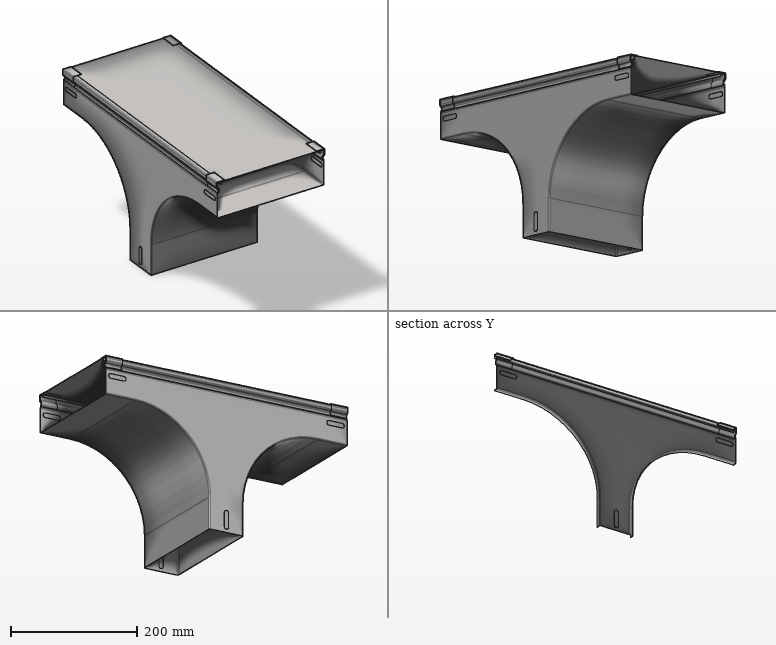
import cadquery as cq
import math

length = 446.6
total_width = 206.4
total_height = 257.19

clip_thickness = 1.0
cover_thickness = 0.8
tray_thickness = 0.8
bend_radius = 2.2

clip_face = total_width / 2
cover_face = clip_face - clip_thickness
tray_face = cover_face - cover_thickness
clip_top = total_height
cover_top = clip_top - clip_thickness
tray_top = cover_top - cover_thickness

run_height = 64.0
stem_width = 63.2
straight_length = 55.0
floor_z = tray_top - run_height
stem_half = stem_width / 2

slot_depth = 0.5
slot_length = 32.0
slot_width = 8.0
slot_end_gap = 5.5
run_slot_drop = 33.3

groove_drop = 16.2
groove_z = total_height - groove_drop
groove_half_height = 7.1
groove_depth = 3.8
tray_shoulder_radius = 3.0
groove_angle = 2 * math.atan(groove_depth / groove_half_height)
groove_radius_sum = groove_half_height / math.sin(groove_angle)
shoulder_centre_y = tray_face - tray_shoulder_radius
groove_centre_y = shoulder_centre_y + groove_radius_sum * math.cos(groove_angle)
groove_bottom_z = groove_z - groove_half_height

lip_bend_y = 93.9
lip_bend_radius = 1.3
lip_turn = math.radians(105)
lip_tail = 3.3

clip_length = 30.0
clip_reach = 16.2

cut_overrun = 1.0
selection_margin = 1.0


def polar(centre, radius, angle):
    """Point at an angle on a circle in the YZ plane."""
    return (centre[0] + radius * math.cos(angle), centre[1] + radius * math.sin(angle))


def arc(centre, radius, start, end):
    """Arc step: its middle point and its end point."""
    return (polar(centre, radius, (start + end) / 2), polar(centre, radius, end))


def line(point):
    """Straight step: only an end point."""
    return (point,)


def side_steps(face, top, bend, full_groove):
    """One surface of a sheet, from the end of its flat top out over the edge and down the groove."""
    quarter = math.pi / 2
    shoulder = face - shoulder_centre_y
    hollow = groove_radius_sum - shoulder
    upper_shoulder = (shoulder_centre_y, groove_z + groove_half_height)
    lower_shoulder = (shoulder_centre_y, groove_bottom_z)
    hollow_centre = (groove_centre_y, groove_z)
    steps = [
        line((face - bend, top)),
        arc((face - bend, top - bend), bend, quarter, 0),
        line((face, upper_shoulder[1])),
        arc(upper_shoulder, shoulder, 0, -groove_angle),
        arc(hollow_centre, hollow, math.pi - groove_angle, math.pi + groove_angle),
    ]
    if full_groove:
        steps.append(arc(lower_shoulder, shoulder, groove_angle, 0))
    return steps


def reverse_steps(start, steps):
    """The same steps walked backwards; the walk ends at `start`."""
    ends = [start] + [step[-1] for step in steps]
    return [step[:-1] + (ends[i],) for i, step in reversed(list(enumerate(steps)))]


def edge_strip(outer_start, outer_steps, inner_start, inner_steps, x_start, strip_length):
    """Sheet strip between its outer and inner surface, extruded along X on the +Y side."""
    back = [line(inner_steps[-1][-1])] + reverse_steps(inner_start, inner_steps)
    outline = cq.Workplane("YZ", origin=(x_start, 0, 0)).moveTo(*outer_start)
    for step in outer_steps + back:
        outline = outline.threePointArc(*step) if len(step) == 2 else outline.lineTo(*step[0])
    return outline.close().extrude(strip_length)


def flat_strip(face, top, thickness, inner_y, x_start, strip_length):
    """Sheet edge with a flat top that starts at inner_y and a side that ends in the groove."""
    return edge_strip(
        (inner_y, top),
        side_steps(face, top, bend_radius, False),
        (inner_y, top - thickness),
        side_steps(face - thickness, top - thickness, bend_radius - thickness, False),
        x_start,
        strip_length,
    )


def tee_block(inset, overrun):
    """Solid tee set in by `inset` from the tray skin and lengthened by `overrun` at the openings."""
    end_x = length / 2 + overrun
    floor = floor_z + inset
    stem_x = stem_half - inset
    arc_x = length / 2 - straight_length
    radius = arc_x - stem_x
    stem_top = floor - radius
    depth = 2 * (tray_face - inset)
    mid = (stem_x + radius * (1 - math.sqrt(0.5)), stem_top + radius * math.sqrt(0.5))
    block = (
        cq.Workplane("XZ", origin=(0, depth / 2, 0))
        .moveTo(-end_x, groove_bottom_z + overrun)
        .lineTo(-end_x, floor)
        .lineTo(-arc_x, floor)
        .threePointArc((-mid[0], mid[1]), (-stem_x, stem_top))
        .lineTo(-stem_x, -overrun)
        .lineTo(stem_x, -overrun)
        .lineTo(stem_x, stem_top)
        .threePointArc(mid, (arc_x, floor))
        .lineTo(end_x, floor)
        .lineTo(end_x, groove_bottom_z + overrun)
        .close()
        .extrude(depth)
    )
    floor_rims = cq.selectors.BoxSelector(
        (-length, -total_width, selection_margin), (length, total_width, floor + selection_margin)
    )
    return block.edges(floor_rims).edges("|X or |Z or %CIRCLE").fillet(bend_radius - inset)


def slot_cutters(x, z, angle):
    """Matching slot cutters for the outer faces of the two side walls."""
    cutter = (
        cq.Workplane("XZ", origin=(x, tray_face, z))
        .slot2D(slot_length, slot_width, angle)
        .extrude(slot_depth)
    )
    return cutter.union(cutter.mirror("XZ"))


def lip_steps(radius):
    """Turned-down end of the lip, from its tail tip up to its flat top."""
    centre = (lip_bend_y, tray_top - lip_bend_radius)
    turned = math.pi / 2 + lip_turn
    bend_start = polar(centre, radius, turned)
    tip = polar(bend_start, lip_tail, turned + math.pi / 2)
    return tip, [line(bend_start), arc(centre, radius, turned, math.pi / 2)]


def tray_rail():
    """Upper edge of a tray wall: groove, top bend and turned-down lip."""
    outer_tip, outer_lip = lip_steps(lip_bend_radius)
    inner_tip, inner_lip = lip_steps(lip_bend_radius - tray_thickness)
    outer = side_steps(tray_face, tray_top, bend_radius, True)
    inner = side_steps(
        tray_face - tray_thickness, tray_top - tray_thickness, bend_radius - tray_thickness, True
    )
    return edge_strip(outer_tip, outer_lip + outer, inner_tip, inner_lip + inner, -length / 2, length)


rail = tray_rail()
tray = tee_block(0, 0).cut(tee_block(tray_thickness, cut_overrun))
tray = tray.union(rail).union(rail.mirror("XZ"))
run_slot_x = length / 2 - slot_end_gap - slot_length / 2
for slot_x in (-run_slot_x, run_slot_x):
    tray = tray.cut(slot_cutters(slot_x, total_height - run_slot_drop, 0))
tray = tray.cut(slot_cutters(0, slot_end_gap + slot_length / 2, 90))

cover_edge = flat_strip(cover_face, cover_top, cover_thickness, 0, -length / 2, length)
cover = cover_edge.union(cover_edge.mirror("XZ"))

clips = []
for x_start in (-length / 2, length / 2 - clip_length):
    clip = flat_strip(clip_face, clip_top, clip_thickness, clip_face - clip_reach, x_start, clip_length)
    clips += [clip, clip.mirror("XZ")]

result = cq.Compound.makeCompound([tray.val(), cover.val(), *[clip.val() for clip in clips]])